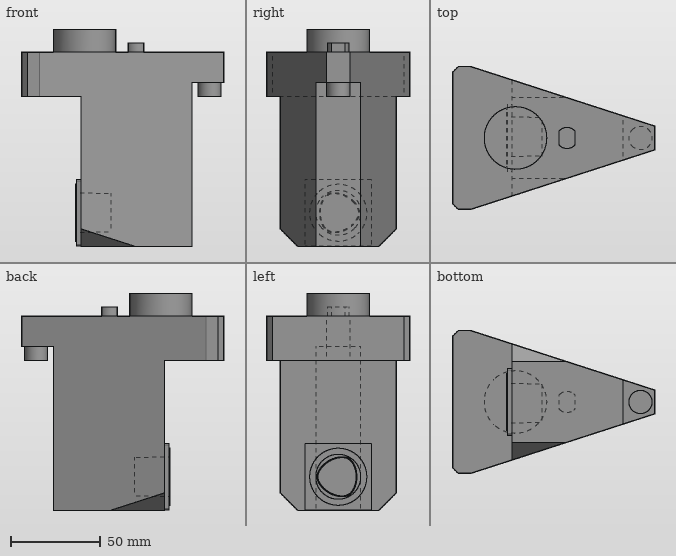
import cadquery as cq
import math

PLATE_LENGTH = 113.0
PLATE_WIDTH = 80.0
PLATE_TIP_WIDTH = 13.4
PLATE_STRAIGHT_END = 10.1
PLATE_CORNER_CHAMFER = 3.2
PLATE_BACK_THICKNESS = 24.9
PLATE_TIP_THICKNESS = 17.0

TOTAL_HEIGHT = 121.5
TOP_BOSS_HEIGHT = 12.8
BODY_BACK = 33.0
BODY_FRONT = 95.3
BODY_CHAMFER = 10.0
BODY_BOTTOM = TOP_BOSS_HEIGHT - TOTAL_HEIGHT

TOP_BOSS_DIAMETER = 35.0
TOP_BOSS_X = 35.1
KEY_DIAMETER = 11.8
KEY_WIDTH = 8.9
KEY_HEIGHT = 5.2
KEY_X = 63.9
PIN_DIAMETER = 13.0
PIN_X = 105.0

PAD_SIDE = 37.4
PAD_THICKNESS = 2.4
PAD_CORNER_RADIUS = 1.0
PAD_BOTTOM_GAP = 0.2
PORT_Z = BODY_BOTTOM + PAD_BOTTOM_GAP + PAD_SIDE / 2
RING_OUTER_DIAMETER = 32.0
RING_INNER_DIAMETER = 25.2
RING_HEIGHT = 0.5
BORE_MEAN_DIAMETER = 22.4
BORE_LOBE = 0.7
BORE_DEPTH = 19.5
BORE_SIDE_TAPER = 1 / 40
BORE_CURVE_POINTS = 36


def plate_outline():
    half_width = PLATE_WIDTH / 2
    upper_side = [
        (0, half_width - PLATE_CORNER_CHAMFER),
        (PLATE_CORNER_CHAMFER, half_width),
        (PLATE_STRAIGHT_END, half_width),
        (PLATE_LENGTH, PLATE_TIP_WIDTH / 2),
    ]
    lower_side = [(x, -y) for x, y in reversed(upper_side)]
    return cq.Workplane("XY").polyline(upper_side + lower_side).close()


def side_profile():
    """Plate and body seen along Y, extruded across the full plate width."""
    return (
        cq.Workplane("XZ")
        .polyline([
            (0, 0),
            (PLATE_LENGTH, 0),
            (PLATE_LENGTH, -PLATE_TIP_THICKNESS),
            (BODY_FRONT, -PLATE_TIP_THICKNESS),
            (BODY_FRONT, BODY_BOTTOM),
            (BODY_BACK, BODY_BOTTOM),
            (BODY_BACK, -PLATE_BACK_THICKNESS),
            (0, -PLATE_BACK_THICKNESS),
        ])
        .close()
        .extrude(PLATE_WIDTH / 2, both=True)
    )


def bottom_chamfer_cuts():
    """Wedges that bevel the lower flanks, running parallel to X."""
    taper = (PLATE_WIDTH - PLATE_TIP_WIDTH) / 2 / (PLATE_LENGTH - PLATE_STRAIGHT_END)
    half_body = PLATE_WIDTH / 2 - taper * (BODY_BACK - PLATE_STRAIGHT_END)
    wedge = (
        cq.Workplane("YZ")
        .polyline([
            (half_body - BODY_CHAMFER, BODY_BOTTOM),
            (half_body, BODY_BOTTOM + BODY_CHAMFER),
            (half_body, BODY_BOTTOM),
        ])
        .close()
        .extrude(PLATE_LENGTH)
    )
    return wedge.union(wedge.mirror("XZ"))


def vertical_cylinder(x, z, diameter, height):
    return cq.Workplane("XY", origin=(x, 0, z)).circle(diameter / 2).extrude(height)


def key():
    flats = cq.Workplane("XY").box(KEY_WIDTH, KEY_DIAMETER, KEY_HEIGHT, centered=(True, True, False))
    return vertical_cylinder(KEY_X, 0, KEY_DIAMETER, KEY_HEIGHT).intersect(flats.translate((KEY_X, 0, 0)))


def port_plane(x):
    """Sketch plane centred on the port axis, facing out of the back (-X)."""
    return cq.Workplane(cq.Plane(origin=(x, 0, PORT_Z), xDir=(0, -1, 0), normal=(-1, 0, 0)))


def port_pad():
    pad = port_plane(BODY_BACK).rect(PAD_SIDE, PAD_SIDE).extrude(PAD_THICKNESS)
    pad = pad.edges("|X").fillet(PAD_CORNER_RADIUS)
    ring = (
        port_plane(BODY_BACK - PAD_THICKNESS)
        .circle(RING_OUTER_DIAMETER / 2)
        .circle(RING_INNER_DIAMETER / 2)
        .extrude(RING_HEIGHT)
    )
    return pad.union(ring)


def port_bore():
    """Tapered three-lobed socket, with one lobe pointing to +Y."""
    def lobed_curve(angle):
        radius = BORE_MEAN_DIAMETER / 2
        across = radius * math.cos(angle) - BORE_LOBE * (2 * math.cos(2 * angle) - math.cos(4 * angle))
        up = radius * math.sin(angle) + BORE_LOBE * (2 * math.sin(2 * angle) + math.sin(4 * angle))
        return across, up

    angles = [2 * math.pi * i / BORE_CURVE_POINTS for i in range(BORE_CURVE_POINTS)]
    floor_scale = 1 - 2 * BORE_DEPTH * BORE_SIDE_TAPER / BORE_MEAN_DIAMETER
    mouth = [lobed_curve(angle) for angle in angles]
    floor = [(floor_scale * across, floor_scale * up) for across, up in mouth]
    return (
        port_plane(BODY_BACK - PAD_THICKNESS)
        .spline(mouth, periodic=True)
        .close()
        .workplane(offset=-BORE_DEPTH)
        .spline(floor, periodic=True)
        .close()
        .loft(ruled=True)
    )


pin_length = PLATE_BACK_THICKNESS - PLATE_TIP_THICKNESS

result = (
    side_profile()
    .intersect(plate_outline().extrude(BODY_BOTTOM))
    .cut(bottom_chamfer_cuts())
    .union(vertical_cylinder(TOP_BOSS_X, 0, TOP_BOSS_DIAMETER, TOP_BOSS_HEIGHT))
    .union(key())
    .union(vertical_cylinder(PIN_X, -PLATE_BACK_THICKNESS, PIN_DIAMETER, pin_length))
    .union(port_pad())
    .cut(port_bore())
)